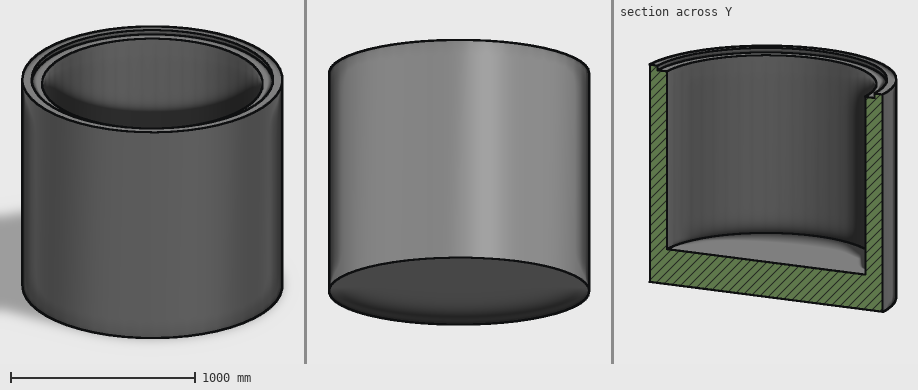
import cadquery as cq

outer_diameter = 1414.0
total_height = 1225.0
bore_diameter = 1199.0
rebate_diameter = 1312.0
rebate_depth = 25.0
base_height = 200.0


def cylinder(diameter, bottom, top):
    """Vertical cylinder on the Z axis between two heights."""
    return cq.Workplane("XY").workplane(offset=bottom).circle(diameter / 2).extrude(top - bottom)


tank = cylinder(outer_diameter, 0, total_height)

bore = cylinder(bore_diameter, base_height, total_height)

rim_rebate = cylinder(rebate_diameter, total_height - rebate_depth, total_height)

result = tank.cut(bore).cut(rim_rebate)